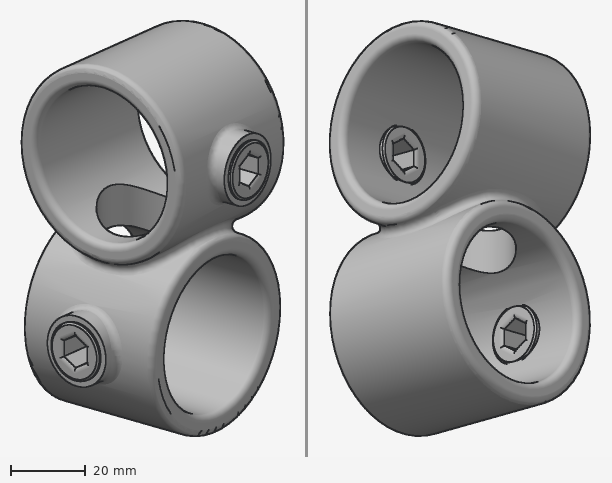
import cadquery as cq
import math

tube_radius = 28.0
bore_diameter = 44.0
tube_length = 44.9
overall_height = 106.0
axis_spacing = overall_height - 2 * tube_radius
edge_fillet = 2.0
passage_diameter = 30.0

boss_diameter = 20.0
screw_tip_reach = 33.5
screw_protrusion = 1.0
boss_reach = screw_tip_reach - screw_protrusion

screw_diameter = 16.5
screw_end_diameter = 15.3
screw_length = 12.9
screw_inner_reach = screw_tip_reach - screw_length
screw_chamfer_radial = (screw_diameter - screw_end_diameter) / 2
screw_chamfer_axial = 0.37
hex_across_flats = 8.0
hex_mouth_across_flats = 10.6
hex_mouth_depth = 0.5

radius_tolerance = 0.01

lower_origin = (0, 0, 0)
upper_origin = (0, 0, axis_spacing)
lower_plane = cq.Plane(origin=lower_origin, xDir=(0, 1, 0), normal=(1, 0, 0))
upper_plane = cq.Plane(origin=upper_origin, xDir=(-1, 0, 0), normal=(0, -1, 0))
lower_screw_plane = cq.Plane(origin=lower_origin, xDir=(1, 0, 0), normal=(0, -1, 0))
upper_screw_plane = cq.Plane(origin=upper_origin, xDir=(0, 1, 0), normal=(1, 0, 0))
tube_planes = [lower_plane, upper_plane]
screw_planes = [lower_screw_plane, upper_screw_plane]


def rounded_tube(plane):
    """Solid cylinder of a tube, with rounded ends."""
    tube = cq.Workplane(plane).circle(tube_radius).extrude(tube_length / 2, both=True)
    return tube.edges("%CIRCLE").fillet(edge_fillet)


def fillet_crossing(body):
    """Round the curved edges where two crossed cylinders meet."""
    crossing = [edge for edge in body.edges().vals() if edge.geomType() not in ("CIRCLE", "LINE")]
    return body.newObject(crossing).fillet(edge_fillet)


def bossed_tube(tube_plane, screw_plane):
    """Solid tube with a boss blended into its side."""
    boss = cq.Workplane(screw_plane).circle(boss_diameter / 2).extrude(boss_reach)
    return fillet_crossing(rounded_tube(tube_plane).union(boss))


def screw_blank(plane):
    """Solid screw body with chamfered ends, before its hexagonal hole is cut."""
    blank = cq.Workplane(plane).workplane(offset=screw_inner_reach)
    blank = blank.circle(screw_diameter / 2).extrude(screw_length)
    return blank.edges("%CIRCLE").chamfer(screw_chamfer_axial, screw_chamfer_radial)


def make_housing():
    """Two blended tubes with bosses, then the bores, screw holes and passage cut through."""
    housing = fillet_crossing(rounded_tube(lower_plane).union(rounded_tube(upper_plane)))
    for tube_plane, screw_plane in zip(tube_planes, screw_planes):
        housing = housing.union(bossed_tube(tube_plane, screw_plane))

    for tube_plane, screw_plane in zip(tube_planes, screw_planes):
        bore = cq.Workplane(tube_plane).circle(bore_diameter / 2).extrude(tube_length, both=True)
        housing = housing.cut(bore).cut(screw_blank(screw_plane))

    passage = cq.Workplane("XY").circle(passage_diameter / 2).extrude(axis_spacing)
    housing = housing.cut(passage)

    mouths = [
        edge
        for edge in housing.edges("%CIRCLE").vals()
        if abs(edge.radius() - bore_diameter / 2) < radius_tolerance
    ]
    return housing.newObject(mouths).fillet(edge_fillet)


def hex_hole():
    """Through hole along Z for one screw, its six walls flaring in an arc at both ends."""
    half_flats = hex_across_flats / 2
    half_mouth = hex_mouth_across_flats / 2
    flare_width = half_mouth - half_flats

    half_turn = math.atan2(hex_mouth_depth, flare_width)
    flare_radius = flare_width / math.sin(2 * half_turn)
    arc_x = half_mouth - flare_radius * math.sin(half_turn)
    arc_depth = flare_radius * (1 - math.cos(half_turn))

    bottom = screw_inner_reach
    top = screw_tip_reach
    profile = (
        cq.Workplane("XZ")
        .moveTo(-half_mouth, bottom)
        .lineTo(half_mouth, bottom)
        .threePointArc((arc_x, bottom + arc_depth), (half_flats, bottom + hex_mouth_depth))
        .lineTo(half_flats, top - hex_mouth_depth)
        .threePointArc((arc_x, top - arc_depth), (half_mouth, top))
        .lineTo(-half_mouth, top)
        .threePointArc((-arc_x, top - arc_depth), (-half_flats, top - hex_mouth_depth))
        .lineTo(-half_flats, bottom + hex_mouth_depth)
        .threePointArc((-arc_x, bottom + arc_depth), (-half_mouth, bottom))
        .close()
    )

    slot = profile.extrude(screw_diameter, both=True)
    hole = slot
    for angle in (60, 120):
        hole = hole.intersect(slot.rotate((0, 0, 0), (0, 0, 1), angle))
    return hole


def make_screw(plane):
    """Headless set screw with a flared hexagonal hole through it."""
    placed_hole = hex_hole().val().moved(cq.Location(plane))
    return screw_blank(plane).cut(cq.Workplane(placed_hole))


housing = make_housing()
screws = [make_screw(plane) for plane in screw_planes]

screw_solids = [screw.solids().val() for screw in screws]
result = cq.Compound.makeCompound([housing.solids().val(), *screw_solids])